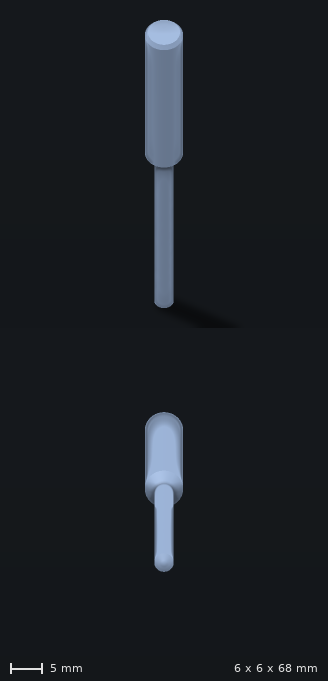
import cadquery as cq
import math

total_length = 68.0

shank_diameter = 6.0
shank_length = 30.17
shank_cone_length = 1.85
top_chamfer_width = 0.5
top_chamfer_height = 0.71

drill_tip_diameter = 3.04
drill_root_diameter = 3.0
point_angle = 131.0

shank_radius = shank_diameter / 2
drill_tip_radius = drill_tip_diameter / 2
drill_root_radius = drill_root_diameter / 2

shank_cone_top = total_length - shank_length
shank_cone_bottom = shank_cone_top - shank_cone_length
point_height = drill_tip_radius / math.tan(math.radians(point_angle / 2))


def revolve_profile(points):
    """Turn a closed (radius, height) outline around the Z axis."""
    outline = cq.Workplane("XZ").polyline(points).close()
    return outline.revolve(360, (0, 0), (0, 1))


def make_shank():
    """Cylindrical shank with a chamfered top and a cone down to the drill."""
    return revolve_profile([
        (0, shank_cone_bottom),
        (drill_root_radius, shank_cone_bottom),
        (shank_radius, shank_cone_top),
        (shank_radius, total_length - top_chamfer_height),
        (shank_radius - top_chamfer_width, total_length),
        (0, total_length),
    ])


def make_drill():
    """Slim drill with a conical point, butted against the end of the shank cone."""
    return revolve_profile([
        (0, 0),
        (drill_tip_radius, point_height),
        (drill_root_radius, shank_cone_bottom),
        (0, shank_cone_bottom),
    ])


shank = make_shank()
drill = make_drill()

result = cq.Compound.makeCompound([shank.val(), drill.val()])